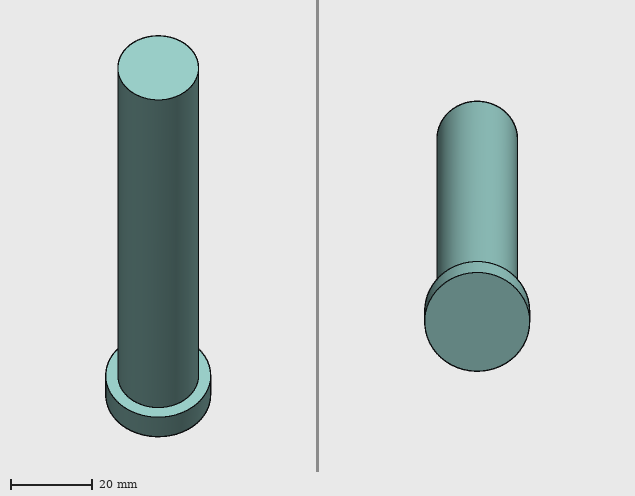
import cadquery as cq

total_length = 133.0
head_diameter = 26.0
head_height = 8.0
shank_diameter = 20.0
shank_length = total_length - head_height

head = cq.Workplane("XY").circle(head_diameter / 2).extrude(head_height)

result = head.faces(">Z").workplane().circle(shank_diameter / 2).extrude(shank_length)